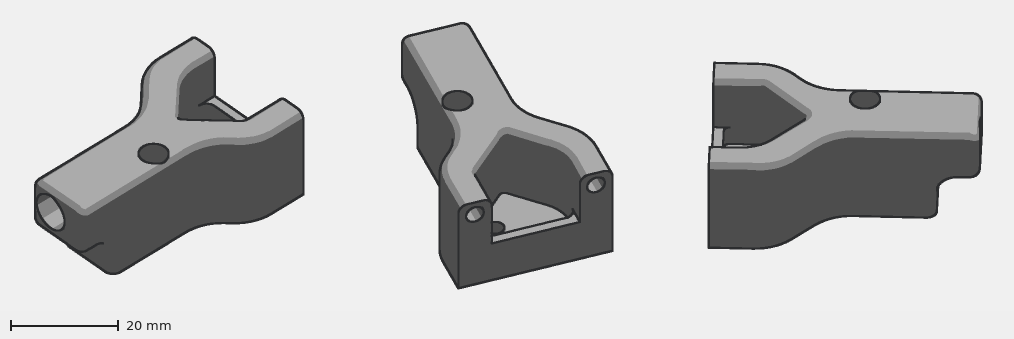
import cadquery as cq
import math

LENGTH = 50.0
HEIGHT = 20.0
FORK_HALF_WIDTH = 15.3
NECK_LEFT = -5.3
NECK_RIGHT = 8.3
SHOULDER_Y = 41.8
BEND_RADIUS = 10.0
EDGE_RADIUS = 1.75
LOWER_EDGE_RADIUS = 2.0

NOTCH_DEPTH = 8.0
NOTCH_HEIGHT = 9.0
NOTCH_RADIUS = 4.0

CAVITY_LEFT = -8.8
CAVITY_RIGHT = 8.65
CAVITY_TIP_X = 0.1
CAVITY_TIP_Y = 32.4
CAVITY_CORNER_RADIUS = 1.0
CAVITY_LEFT_RADIUS = 8.0
LIP_LEFT_RADIUS = 2.0
LIP_WIDTH = 2.0
LIP_TOP = 9.0
FLOOR_TOP = 5.0

SCREW_X = 4.85
NECK_SCREW_Y = 21.65
SCREW_SPACING = 20.0
SCREW_DIAMETER = 3.4
SCREW_HEAD_DIAMETER = 5.6
SCREW_HEAD_SEAT = FLOOR_TOP

INLET_DIAMETER = 7.6
INLET_Z = 15.25
INLET_DEPTH = 10.0
TAPER_LENGTH = 4.0
CHANNEL_DIAMETER = 3.5
CHANNEL_Z = 17.1
CHANNEL_ARM_X = 12.0
CHANNEL_SPLIT_Y = 27.4

DIAGONAL = math.sqrt(0.5)
CLEARANCE = 1.0
MARGIN = 0.1


def flank_points(side, neck_x):
    """Points of one S-shaped flank, from the neck up to the rear of its arm.

    Two equal 45 degree bends are joined by a straight slope. The second and
    fifth points are the middles of the bends.
    """
    arm_x = side * FORK_HALF_WIDTH
    bend_in = BEND_RADIUS * (1 - DIAGONAL)
    bend_along = BEND_RADIUS * DIAGONAL
    middle_in = BEND_RADIUS * (1 - math.cos(math.pi / 8))
    middle_along = BEND_RADIUS * math.sin(math.pi / 8)
    slope_run = abs(arm_x - neck_x) - 2 * bend_in
    neck_end_y = SHOULDER_Y - slope_run - 2 * bend_along
    return [
        (neck_x, neck_end_y),
        (neck_x + side * middle_in, neck_end_y + middle_along),
        (neck_x + side * bend_in, neck_end_y + bend_along),
        (arm_x - side * bend_in, SHOULDER_Y - bend_along),
        (arm_x - side * middle_in, SHOULDER_Y - middle_along),
        (arm_x, SHOULDER_Y),
        (arm_x, LENGTH),
    ]


def make_body():
    right = flank_points(1, NECK_RIGHT)
    left = flank_points(-1, NECK_LEFT)
    return (
        cq.Workplane("XY")
        .moveTo(NECK_LEFT, 0)
        .lineTo(NECK_RIGHT, 0)
        .lineTo(*right[0])
        .threePointArc(right[1], right[2])
        .lineTo(*right[3])
        .threePointArc(right[4], right[5])
        .lineTo(*right[6])
        .lineTo(*left[6])
        .lineTo(*left[5])
        .threePointArc(left[4], left[3])
        .lineTo(*left[2])
        .threePointArc(left[1], left[0])
        .close()
        .extrude(HEIGHT)
    )


def cut_notch(body):
    arc_middle = (
        NOTCH_DEPTH - NOTCH_RADIUS * (1 - DIAGONAL),
        NOTCH_HEIGHT - NOTCH_RADIUS * (1 - DIAGONAL),
    )
    notch = (
        cq.Workplane("YZ", origin=(NECK_LEFT - CLEARANCE, 0, 0))
        .moveTo(-CLEARANCE, -CLEARANCE)
        .lineTo(NOTCH_DEPTH, -CLEARANCE)
        .lineTo(NOTCH_DEPTH, NOTCH_HEIGHT - NOTCH_RADIUS)
        .threePointArc(arc_middle, (NOTCH_DEPTH - NOTCH_RADIUS, NOTCH_HEIGHT))
        .lineTo(-CLEARANCE, NOTCH_HEIGHT)
        .close()
        .extrude(NECK_RIGHT - NECK_LEFT + 2 * CLEARANCE)
    )
    return body.cut(notch)


def cavity_prism(rear_y, bottom):
    """Five-sided cavity outline, reaching back to rear_y, open upward."""
    outline = [
        (CAVITY_LEFT, rear_y),
        (CAVITY_LEFT, CAVITY_TIP_Y + CAVITY_TIP_X - CAVITY_LEFT),
        (CAVITY_TIP_X, CAVITY_TIP_Y),
        (CAVITY_RIGHT, CAVITY_TIP_Y + CAVITY_RIGHT - CAVITY_TIP_X),
        (CAVITY_RIGHT, rear_y),
    ]
    prism = (
        cq.Workplane("XY", origin=(0, 0, bottom))
        .polyline(outline)
        .close()
        .extrude(HEIGHT - bottom)
    )
    radii = [
        LIP_LEFT_RADIUS,
        CAVITY_LEFT_RADIUS,
        CAVITY_CORNER_RADIUS,
        CAVITY_CORNER_RADIUS,
        CAVITY_CORNER_RADIUS,
    ]
    for corner, radius in zip(outline, radii):
        nearest = cq.selectors.NearestToPointSelector((*corner, (HEIGHT + bottom) / 2))
        prism = prism.edges("|Z").edges(nearest).fillet(radius)
    return prism


def cut_cavity(body):
    upper = cavity_prism(LENGTH + LIP_LEFT_RADIUS + CLEARANCE, LIP_TOP)
    lower = cavity_prism(LENGTH - LIP_WIDTH, FLOOR_TOP)
    return body.cut(upper).cut(lower)


def round_top_and_nose(body):
    nose_corners = cq.selectors.BoxSelector(
        (NECK_LEFT - MARGIN, -MARGIN, 0),
        (NECK_RIGHT + MARGIN, MARGIN, HEIGHT),
    )
    body = body.edges("|Z").edges(nose_corners).fillet(EDGE_RADIUS)
    return body.faces(">Z").edges("not(>Y)").fillet(EDGE_RADIUS)


def round_notch(body):
    """Round the rim of the notch, leaving out the seams across its curved face."""
    notch_edges = cq.selectors.BoxSelector(
        (NECK_LEFT - MARGIN, -MARGIN, MARGIN),
        (NECK_RIGHT + MARGIN, NOTCH_DEPTH + MARGIN, NOTCH_HEIGHT + MARGIN),
    )
    notch_seams = cq.selectors.BoxSelector(
        (NECK_LEFT / 2, NOTCH_DEPTH - NOTCH_RADIUS - MARGIN, MARGIN),
        (NECK_RIGHT / 2, NOTCH_DEPTH + MARGIN, NOTCH_HEIGHT + MARGIN),
    )
    return body.edges(notch_edges - notch_seams).fillet(LOWER_EDGE_RADIUS)


def cut_screw_holes(body):
    for y in (NECK_SCREW_Y, NECK_SCREW_Y + SCREW_SPACING):
        hole = (
            cq.Workplane("XY").center(SCREW_X, y).circle(SCREW_DIAMETER / 2).extrude(HEIGHT)
        )
        body = body.cut(hole)
    head = (
        cq.Workplane("XY", origin=(SCREW_X, NECK_SCREW_Y, SCREW_HEAD_SEAT))
        .circle(SCREW_HEAD_DIAMETER / 2)
        .extrude(HEIGHT - SCREW_HEAD_SEAT)
    )
    return body.cut(head)


def cylinder_between(start, end, diameter):
    axis = cq.Vector(*end) - cq.Vector(*start)
    return cq.Workplane(
        cq.Solid.makeCylinder(diameter / 2, axis.Length, cq.Vector(*start), axis)
    )


def cut_channels(body):
    taper_end = INLET_DEPTH + TAPER_LENGTH
    inlet = cylinder_between((0, -CLEARANCE, INLET_Z), (0, INLET_DEPTH, INLET_Z), INLET_DIAMETER)
    taper = (
        cq.Workplane("XZ", origin=(0, INLET_DEPTH, 0))
        .center(0, INLET_Z)
        .circle(INLET_DIAMETER / 2)
        .workplane(offset=-TAPER_LENGTH)
        .center(0, CHANNEL_Z - INLET_Z)
        .circle(CHANNEL_DIAMETER / 2)
        .loft(ruled=True)
    )
    split = (0, CHANNEL_SPLIT_Y, CHANNEL_Z)
    stem = cylinder_between((0, taper_end, CHANNEL_Z), split, CHANNEL_DIAMETER)
    body = body.cut(inlet).cut(taper).cut(stem)
    for side in (-1, 1):
        elbow = (side * CHANNEL_ARM_X, CHANNEL_SPLIT_Y + CHANNEL_ARM_X, CHANNEL_Z)
        outlet = (elbow[0], LENGTH + CLEARANCE, CHANNEL_Z)
        body = body.cut(cylinder_between(split, elbow, CHANNEL_DIAMETER))
        body = body.cut(cylinder_between(elbow, outlet, CHANNEL_DIAMETER))
        body = body.cut(cq.Workplane("XY").sphere(CHANNEL_DIAMETER / 2).translate(elbow))
    return body


body = cut_cavity(cut_notch(make_body()))
body = round_notch(round_top_and_nose(body))
result = cut_channels(cut_screw_holes(body))